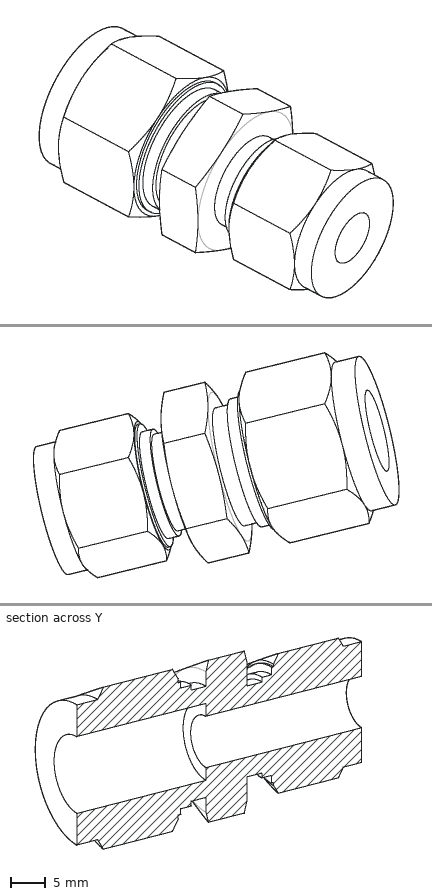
import cadquery as cq
import math

LENGTH = 48.7
LARGE_COLLAR_END = 3.55
LARGE_NUT_END = 17.4
LARGE_RING_END = 17.8
LARGE_SLEEVE_END = 19.65
BODY_HEX_START = 22.05
BODY_HEX_END = 29.1
SMALL_NECK_END = 31.65
SMALL_SLEEVE_END = 33.25
SMALL_NUT_START = 33.6
SMALL_NUT_END = 45.65

LARGE_FLATS = 22.0
SMALL_FLATS = 19.0
NUT_CHAMFER_ANGLE = 30.0
BODY_CHAMFER_ANGLE = 15.0

LARGE_RING_DIAMETER = 20.8
LARGE_SLEEVE_DIAMETER = 19.0
LARGE_NECK_DIAMETER = 17.5
SMALL_NECK_DIAMETER = 14.3
SMALL_SLEEVE_DIAMETER = 15.85
SMALL_RING_DIAMETER = 18.2

PASSAGE_DIAMETER = 8.0
SOCKET_DIAMETER = 12.0
SOCKET_DEPTH = BODY_HEX_START


def cylinder(start, end, diameter):
    """Round section along X between two stations."""
    return cq.Workplane("YZ").workplane(offset=start).circle(diameter / 2).extrude(end - start)


def hexagon(start, end, flats, chamfer_angle):
    """Hexagon along X with corners at +/-Z, both ends coned down to the circle inside the flats."""
    flat_radius = flats / 2
    corner_radius = flat_radius / math.cos(math.radians(30))
    cone_length = (corner_radius - flat_radius) * math.tan(math.radians(chamfer_angle))
    prism = (
        cq.Workplane("YZ")
        .workplane(offset=start)
        .transformed(rotate=(0, 0, 90))
        .polygon(6, 2 * corner_radius)
        .extrude(end - start)
    )
    envelope = (
        cq.Workplane("XZ")
        .moveTo(start, 0)
        .lineTo(start, flat_radius)
        .lineTo(start + cone_length, corner_radius)
        .lineTo(end - cone_length, corner_radius)
        .lineTo(end, flat_radius)
        .lineTo(end, 0)
        .close()
        .revolve(360, (0, 0, 0), (1, 0, 0))
    )
    return prism.intersect(envelope)


round_sections = [
    (0, LARGE_COLLAR_END, LARGE_FLATS),
    (LARGE_NUT_END, LARGE_RING_END, LARGE_RING_DIAMETER),
    (LARGE_RING_END, LARGE_SLEEVE_END, LARGE_SLEEVE_DIAMETER),
    (LARGE_SLEEVE_END, BODY_HEX_START, LARGE_NECK_DIAMETER),
    (BODY_HEX_END, SMALL_NECK_END, SMALL_NECK_DIAMETER),
    (SMALL_NECK_END, SMALL_SLEEVE_END, SMALL_SLEEVE_DIAMETER),
    (SMALL_SLEEVE_END, SMALL_NUT_START, SMALL_RING_DIAMETER),
    (SMALL_NUT_END, LENGTH, SMALL_FLATS),
]
hexagon_sections = [
    (LARGE_COLLAR_END, LARGE_NUT_END, LARGE_FLATS, NUT_CHAMFER_ANGLE),
    (BODY_HEX_START, BODY_HEX_END, LARGE_FLATS, BODY_CHAMFER_ANGLE),
    (SMALL_NUT_START, SMALL_NUT_END, SMALL_FLATS, NUT_CHAMFER_ANGLE),
]

result = cq.Workplane("YZ")
for section in round_sections:
    result = result.union(cylinder(*section))
for section in hexagon_sections:
    result = result.union(hexagon(*section))

result = result.cut(cylinder(0, LENGTH, PASSAGE_DIAMETER))
result = result.cut(cylinder(0, SOCKET_DEPTH, SOCKET_DIAMETER))